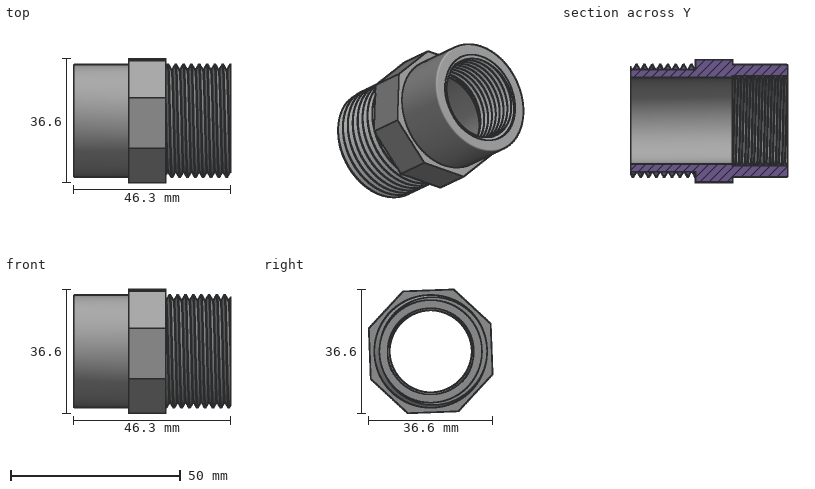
import cadquery as cq
import math

collar_length = 16.2
octagon_length = 11.0
spigot_length = 19.1
octagon_start = collar_length
spigot_start = octagon_start + octagon_length
total_length = spigot_start + spigot_length

across_flats = 36.0
octagon_sides = 8
octagon_turn = 2.22

thread_angle = 60.0
crest_width_per_pitch = 1 / 8
male_pitch = 2.309
male_crest_diameter = 33.25
male_root_diameter = 30.24
male_crest_position = spigot_start
female_pitch = 1.814
female_crest_diameter = 24.117
female_root_diameter = 26.44
female_crest_position = female_pitch / 2

socket_depth = 16.3
collar_diameter = male_crest_diameter
collar_fillet = 0.5
bore_diameter = 25.44


def cylinder(diameter, start, length):
    """A solid cylinder on the X axis."""
    return cq.Workplane("YZ", origin=(start, 0, 0)).circle(diameter / 2).extrude(length)


def make_adapter():
    """Hollow body: filleted collar, octagonal grip and spigot, bored through."""
    collar = cylinder(collar_diameter, 0, collar_length).faces("<X").edges().fillet(collar_fillet)
    across_corners = across_flats / math.cos(math.pi / octagon_sides)
    octagon = (
        cq.Workplane("YZ", origin=(octagon_start, 0, 0))
        .polygon(octagon_sides, across_corners)
        .extrude(octagon_length)
        .rotate((0, 0, 0), (1, 0, 0), 180 / octagon_sides + octagon_turn)
    )
    spigot = cylinder(male_root_diameter, spigot_start, spigot_length)
    bore = cylinder(bore_diameter, 0, total_length)
    socket = cylinder(female_root_diameter, 0, socket_depth)
    return collar.union(octagon).union(spigot).cut(bore).cut(socket)


def make_thread(pitch, crest_diameter, root_diameter, crest_position, start, length):
    """Right-handed helical ridge on the X axis, cut square where it starts and ends.

    crest_position is where, along X, the middle of the first crest passes the -Z side.
    """
    crest_width = crest_width_per_pitch * pitch
    flank_width = abs(crest_diameter - root_diameter) / 2 * math.tan(math.radians(thread_angle / 2))
    root_width = crest_width + 2 * flank_width

    overshoot_turns = 2
    helix_start = crest_position - overshoot_turns * pitch
    helix_length = (math.ceil(length / pitch) + 2 * overshoot_turns) * pitch

    def helix(diameter, offset):
        """A helix of the given diameter, shifted along X from the middle of the crest."""
        wire = cq.Wire.makeHelix(pitch, helix_length, diameter / 2)
        return wire.rotate(cq.Vector(), cq.Vector(0, 1, 0), 90).translate((helix_start + offset, 0, 0))

    corner_helices = [
        helix(root_diameter, -root_width / 2),
        helix(crest_diameter, -crest_width / 2),
        helix(crest_diameter, crest_width / 2),
        helix(root_diameter, root_width / 2),
    ]
    next_helices = corner_helices[1:] + corner_helices[:1]
    faces = [cq.Face.makeRuledSurface(a, b) for a, b in zip(corner_helices, next_helices)]
    for end_point in (cq.Wire.startPoint, cq.Wire.endPoint):
        corners = [end_point(wire) for wire in corner_helices]
        faces.append(cq.Face.makeFromWires(cq.Wire.makePolygon(corners, close=True)))
    ridge = cq.Solid.makeSolid(cq.Shell.makeShell(faces))

    keep = cylinder(2 * max(crest_diameter, root_diameter), start, length)
    return keep.intersect(cq.Workplane(ridge))


adapter = make_adapter()
male_thread = make_thread(
    male_pitch,
    male_crest_diameter,
    male_root_diameter,
    male_crest_position,
    spigot_start,
    spigot_length,
)
female_thread = make_thread(
    female_pitch,
    female_crest_diameter,
    female_root_diameter,
    female_crest_position,
    0,
    socket_depth,
)

result = cq.Compound.makeCompound(
    [
        *adapter.solids().vals(),
        *male_thread.solids().vals(),
        *female_thread.solids().vals(),
    ]
)